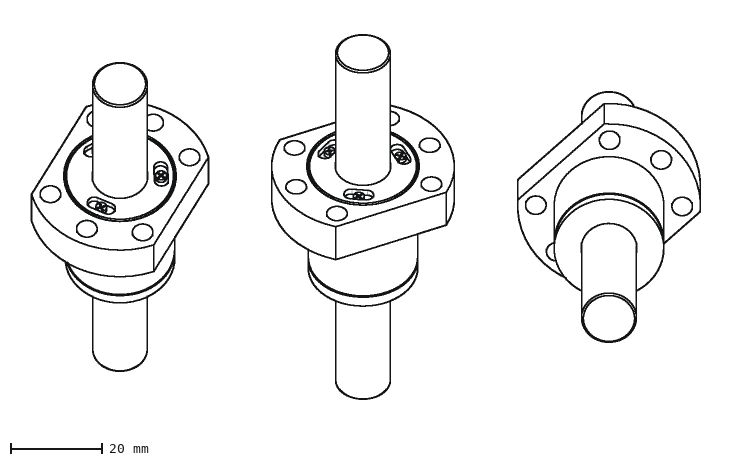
import cadquery as cq
import math

shaft_length = 100
shaft_diameter = 12
shaft_chamfer = 0.4

nut_length = 31
nut_diameter = 24
nut_top = nut_length / 2
nut_bottom = -nut_length / 2

flange_diameter = 40
flange_width = 30
flange_thickness = 10
bolt_hole_diameter = 4.5
bolt_circle_radius = 16
bolt_angles = (45, 90, 135, 225, 270, 315)

seam_groove_half_width = 0.3
seam_groove_depth = 0.3
clearance_diameter = 12.2
clearance_depth = 1

end_cap_height = 2.7
cap_groove_width = 0.3
cap_groove_depth = 0.1

pocket_radius = 9
pocket_angles = (30, 150, 270)
pocket_length = 6.5
pocket_width = 3
pocket_depth = 1.5
screw_head_diameter = 2.4
screw_head_height = 1
cross_slot_width = 0.2
cross_slot_depth = 0.5
cross_slot_angles = (45, 135)

z_axis = ((0, 0, 0), (0, 0, 1))


def cylinder(diameter, bottom, height):
    return cq.Workplane("XY").workplane(offset=bottom).circle(diameter / 2).extrude(height)


def ring(outer_diameter, inner_diameter, bottom, height):
    outer = cylinder(outer_diameter, bottom, height)
    return outer.cut(cylinder(inner_diameter, bottom, height))


def make_flange():
    bottom = nut_top - flange_thickness
    flats = cq.Workplane("XY").workplane(offset=bottom).rect(flange_width, flange_diameter)
    flange = cylinder(flange_diameter, bottom, flange_thickness)
    flange = flange.intersect(flats.extrude(flange_thickness))
    hole_centres = [
        (bolt_circle_radius * math.cos(math.radians(a)), bolt_circle_radius * math.sin(math.radians(a)))
        for a in bolt_angles
    ]
    holes = cq.Workplane("XY").workplane(offset=bottom).pushPoints(hole_centres)
    return flange.cut(holes.circle(bolt_hole_diameter / 2).extrude(flange_thickness))


def make_seam_groove_cutter():
    nut_radius = nut_diameter / 2
    profile = [
        (nut_radius - seam_groove_half_width, nut_top),
        (nut_radius + seam_groove_half_width, nut_top),
        (nut_radius, nut_top - seam_groove_depth),
    ]
    axis_start, axis_end = (0, 0, 0), (0, 1, 0)
    return cq.Workplane("XZ").polyline(profile).close().revolve(360, axis_start, axis_end)


def make_screw_pocket_cutter():
    """Material removed around one cross-head screw, with the screw on the +X axis."""
    floor = nut_top - pocket_depth
    pocket = cq.Workplane("XY").workplane(offset=floor).center(pocket_radius, 0)
    pocket = pocket.slot2D(pocket_length, pocket_width, 90).extrude(pocket_depth)
    head = cylinder(screw_head_diameter, floor, screw_head_height)
    for angle in cross_slot_angles:
        slot = cq.Workplane("XY").workplane(offset=floor + screw_head_height - cross_slot_depth)
        slot = slot.rect(screw_head_diameter, cross_slot_width).extrude(cross_slot_depth)
        head = head.cut(slot.rotate(*z_axis, angle))
    return pocket.cut(head.translate((pocket_radius, 0, 0)))


def make_nut():
    nut = cylinder(nut_diameter, nut_bottom, nut_length).union(make_flange())
    nut = nut.cut(make_seam_groove_cutter())
    cap_groove_floor = nut_diameter - 2 * cap_groove_depth
    nut = nut.cut(ring(nut_diameter, cap_groove_floor, nut_bottom + end_cap_height, cap_groove_width))
    for bottom in (nut_top - clearance_depth, nut_bottom):
        nut = nut.cut(ring(clearance_diameter, shaft_diameter, bottom, clearance_depth))
    pocket_cutter = make_screw_pocket_cutter()
    for angle in pocket_angles:
        nut = nut.cut(pocket_cutter.rotate(*z_axis, angle))
    return nut


shaft = cylinder(shaft_diameter, -shaft_length / 2, shaft_length)
shaft = shaft.faces("<Z or >Z").chamfer(shaft_chamfer)

result = make_nut().union(shaft)